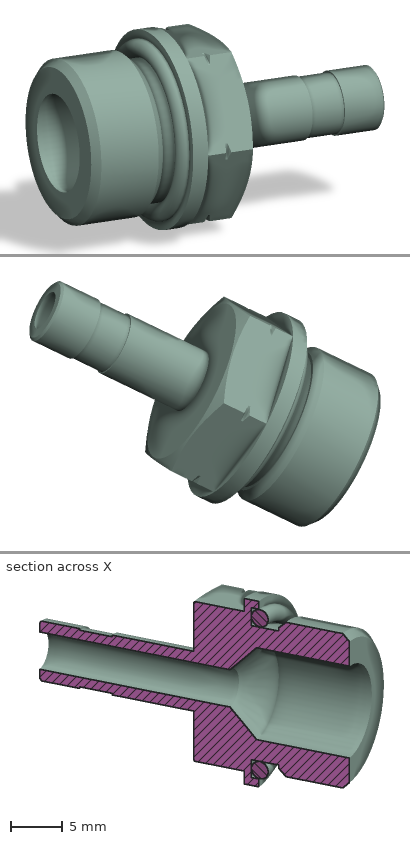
import cadquery as cq
import math

LENGTH = 33.72

thread_radius = 8.23
thread_chamfer = 0.75
neck_radius = 7.15
thread_end = 6.9
neck_start = 7.72

flange_radius = 9.88
flange_start = 9.85
flange_end = 11.45
seal_outer_radius = 9.0
seal_front = 8.85
seal_wire_radius = (seal_outer_radius - neck_radius) / 2
seal_centre_radius = neck_radius + seal_wire_radius
seal_centre_y = seal_front + seal_wire_radius
seal_seat_end = seal_centre_y + seal_wire_radius

hex_across_flats = 17.0
hex_across_corners = hex_across_flats / math.cos(math.radians(30))
hex_end = 17.0
hex_chamfer_radius = 8.3
hex_chamfer_drop = 0.67
notch_y = 13.7
notch_width = 0.6
notch_floor_width = 0.2
notch_depth = 0.45

stem_radius = 3.2
stem_groove_radius = 3.05
stem_groove_start = LENGTH - 7.85
stem_groove_end = LENGTH - 4.4
stem_tip_length = 0.2
stem_tip_inset = 0.27

bore_radius = 4.85
bore_depth = 10.1
passage_radius = 1.95
bore_cone_half_angle = 45.0
bore_cone_end = bore_depth + (bore_radius - passage_radius) / math.tan(math.radians(bore_cone_half_angle))


def turned(profile):
    """Revolve a closed (radius, y) outline about the Y axis."""
    return cq.Workplane("XY").polyline(profile).close().revolve(360, (0, 0, 0), (0, 1, 0))


def make_threaded_end():
    """Chamfered thread, neck and flange, with the seal seat sunk into the flange."""
    return turned([
        (0, 0),
        (thread_radius - thread_chamfer, 0),
        (thread_radius, thread_chamfer),
        (thread_radius, thread_end),
        (thread_radius - thread_chamfer, neck_start),
        (neck_radius, neck_start),
        (neck_radius, seal_seat_end),
        (seal_outer_radius, seal_seat_end),
        (seal_outer_radius, flange_start),
        (flange_radius, flange_start),
        (flange_radius, flange_end),
        (0, flange_end),
    ])


def make_hexagon():
    """Hexagon with corners on X, a turned chamfer and a tapered notch across each corner."""
    corner_radius = hex_across_corners / 2
    prism = (
        cq.Workplane("XZ", origin=(0, flange_end, 0))
        .polygon(6, hex_across_corners)
        .extrude(flange_end - hex_end)
    )
    envelope = turned([
        (0, flange_end),
        (corner_radius, flange_end),
        (corner_radius, notch_y - notch_width / 2),
        (corner_radius - notch_depth, notch_y - notch_floor_width / 2),
        (corner_radius - notch_depth, notch_y + notch_floor_width / 2),
        (corner_radius, notch_y + notch_width / 2),
        (corner_radius, hex_end - hex_chamfer_drop),
        (hex_chamfer_radius, hex_end),
        (0, hex_end),
    ])
    return prism.intersect(envelope)


def make_stem():
    """Tube stem with a shallow groove and a chamfered tip."""
    return turned([
        (0, hex_end),
        (stem_radius, hex_end),
        (stem_radius, stem_groove_start),
        (stem_groove_radius, stem_groove_start),
        (stem_groove_radius, stem_groove_end),
        (stem_radius, stem_groove_end),
        (stem_radius, LENGTH - stem_tip_length),
        (stem_radius - stem_tip_inset, LENGTH),
        (0, LENGTH),
    ])


def make_bore():
    """Wide bore tapering to the passage that runs through the stem."""
    return turned([
        (0, 0),
        (bore_radius, 0),
        (bore_radius, bore_depth),
        (passage_radius, bore_cone_end),
        (passage_radius, LENGTH),
        (0, LENGTH),
    ])


def make_fitting():
    """One-piece body: threaded end, hexagon and stem, bored through."""
    return make_threaded_end().union(make_hexagon()).union(make_stem()).cut(make_bore())


def make_seal_ring():
    """O-ring around the neck, partly sunk in the flange."""
    return (
        cq.Workplane("XY")
        .center(seal_centre_radius, seal_centre_y)
        .circle(seal_wire_radius)
        .revolve(360, (-seal_centre_radius, 0, 0), (-seal_centre_radius, 1, 0))
    )


fitting = make_fitting()
seal_ring = make_seal_ring()

result = cq.Compound.makeCompound([*fitting.solids().vals(), seal_ring.val()])